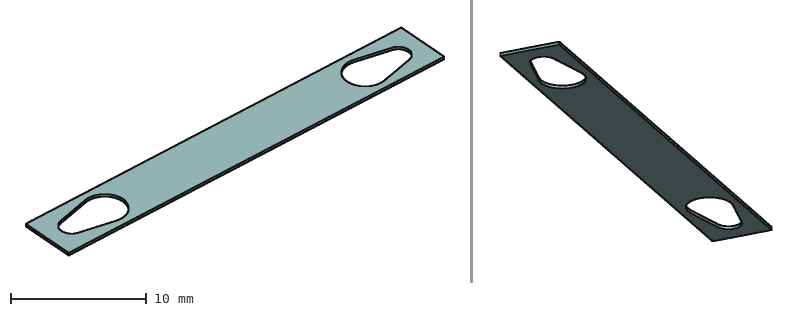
import cadquery as cq
import math

strip_width = 4.8
strip_length = 36.8
strip_thickness = 0.25

large_radius = 1.75
small_radius = 1.0
keyhole_length = 6.0
end_margin = 1.4

small_center_y = strip_length / 2 - end_margin - small_radius
center_distance = keyhole_length - large_radius - small_radius
large_center_y = small_center_y - center_distance

tangent_angle = math.asin((large_radius - small_radius) / center_distance)


def tangent_point(radius, center_y):
    """Point where the +X straight side meets the arc of the given radius."""
    return (
        radius * math.cos(tangent_angle),
        center_y + radius * math.sin(tangent_angle),
    )


def keyhole_cutter():
    """Through cutter for the +Y keyhole, small arc toward the strip end."""
    large_x, large_y = tangent_point(large_radius, large_center_y)
    small_x, small_y = tangent_point(small_radius, small_center_y)
    return (
        cq.Workplane("XY")
        .moveTo(large_x, large_y)
        .lineTo(small_x, small_y)
        .threePointArc((0, small_center_y + small_radius), (-small_x, small_y))
        .lineTo(-large_x, large_y)
        .threePointArc((0, large_center_y - large_radius), (large_x, large_y))
        .close()
        .extrude(strip_thickness)
    )


def strip():
    return (
        cq.Workplane("XY")
        .rect(strip_width, strip_length)
        .extrude(strip_thickness)
    )


result = strip()
for turn in (0, 180):
    result = result.cut(keyhole_cutter().rotate((0, 0, 0), (0, 0, 1), turn))